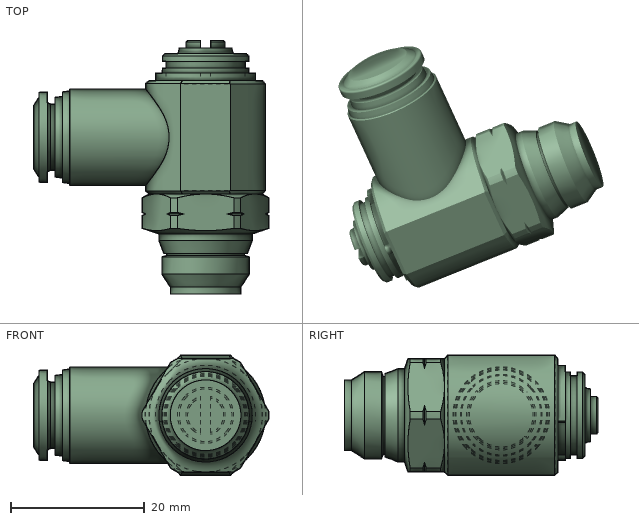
import cadquery as cq
import math


body_radius = 9.0
body_end = 8.5
body_chamfer_length = 0.55
body_chamfer_depth = 0.45

branch_tip = 25.78
branch_radius = 7.25
branch_start = 5.5
sleeve_chamfer = 0.1
ring_face_radius = 4.75
ring_cone_radius = 5.95
ring_cone_length = 0.78
ring_radius = 6.78
ring_fillet = 0.28
ring_end = 2.07
neck_root_radius = 5.2
neck_root_end = 2.55
neck_radius = 4.97
inner_step_start = 3.2
inner_step_radius = 5.98
outer_step_start = 4.33
outer_step_radius = 6.8
step_taper = 0.15

stop_collar_end = 9.6
stop_collar_radius = 7.5
stop_core_radius = 6.0
stop_wall_outer_z = -0.84
stop_wall_inner_z = -1.06
stop_pin_radius = 0.76
flange_radius = 6.5
lower_flange_end = 10.37
groove_radius = 5.95
upper_flange_start = 11.38
upper_flange_end = 12.55
flange_chamfer = 0.4
cap_base_radius = 4.2
cap_shoulder_radius = 4.05
cap_shoulder = 12.85
cap_top_radius = 3.95
cap_end = 13.4
screw_radius = 2.94
screw_end = 14.5
screw_chamfer = 0.25
screw_slot_width = 1.5

nut_across_flats = 17.0
nut_corner_radius = 9.5
nut_start = body_end
nut_length = 6.0
nut_end = nut_start + nut_length
nut_back_chamfer_depth = 1.0
nut_back_chamfer_length = nut_back_chamfer_depth * math.tan(math.radians(30))
nut_front_chamfer_length = 0.85
notch_depth = 0.41
notch_width = 0.5

spigot_radius = 7.0
spigot_step = 15.5
spigot_cone_radius = 6.27
spigot_cone_end = 17.43
relief_radius = 5.85
relief_end = 17.7
seat_start = 17.95
seat_radius = 6.56
seat_end = 20.5
nose_radius = 5.3
nose_start = 22.45
nose_end = 23.5


def turn_on_y(points):
    """Solid of revolution about Y from (radius, y) points."""
    return cq.Workplane("XY").polyline(points).close().revolve(360, (0, 0, 0), (0, 1, 0))


def bar_on_y(radius, start, end):
    return turn_on_y([(0, start), (radius, start), (radius, end), (0, end)])


def make_body():
    octagon_diameter = 2 * body_radius / math.cos(math.pi / 8)
    octagon = (
        cq.Workplane("XZ")
        .polygon(8, octagon_diameter)
        .extrude(body_end, both=True)
        .rotate((0, 0, 0), (0, 1, 0), 360 / 16)
    )
    tangent_height = body_radius * math.sin(math.pi / 4)
    middle_band = cq.Workplane("XY").box(4 * body_radius, 4 * body_end, 2 * tangent_height)
    body = octagon.cut(middle_band).union(bar_on_y(body_radius, -body_end, body_end))
    return body.faces("<Y or >Y").chamfer(body_chamfer_length, body_chamfer_depth)


def make_branch():
    """Tube sleeve and release ring, turned about X from the tip inwards."""
    arc_inset = ring_fillet * (1 - math.sin(math.pi / 4))
    profile = (
        cq.Workplane("XY", origin=(-branch_tip, 0, 0))
        .moveTo(0, 0)
        .lineTo(0, ring_face_radius)
        .lineTo(ring_cone_length, ring_cone_radius)
        .lineTo(ring_cone_length, ring_radius - ring_fillet)
        .threePointArc(
            (ring_cone_length + arc_inset, ring_radius - arc_inset),
            (ring_cone_length + ring_fillet, ring_radius),
        )
        .lineTo(ring_end, ring_radius)
        .lineTo(ring_end, neck_root_radius)
        .lineTo(neck_root_end, neck_radius)
        .lineTo(inner_step_start, neck_radius)
        .lineTo(inner_step_start, inner_step_radius)
        .lineTo(outer_step_start, inner_step_radius + step_taper)
        .lineTo(outer_step_start, outer_step_radius)
        .lineTo(branch_start - sleeve_chamfer, outer_step_radius + step_taper)
        .lineTo(branch_start - sleeve_chamfer, branch_radius - sleeve_chamfer)
        .lineTo(branch_start, branch_radius)
        .lineTo(branch_tip, branch_radius)
        .lineTo(branch_tip, 0)
        .close()
    )
    return profile.revolve(360, (0, 0, 0), (1, 0, 0))


def make_stop_collar():
    """Wide collar sector ending at two sloped stop walls, with a stop pin on the core below."""
    length = stop_collar_end - body_end
    wall_slope = (stop_wall_outer_z - stop_wall_inner_z) / (stop_collar_radius - stop_core_radius)
    reach = 2 * stop_collar_radius
    wall_start_z = stop_wall_inner_z - wall_slope * stop_core_radius
    wall_reach_z = wall_start_z + wall_slope * reach
    lower_cut = (
        cq.Workplane("XZ", origin=(0, body_end, 0))
        .polyline([
            (0, wall_start_z),
            (reach, wall_reach_z),
            (reach, -reach),
            (-reach, -reach),
            (-reach, wall_reach_z),
        ])
        .close()
        .extrude(-length)
    )
    sector = bar_on_y(stop_collar_radius, body_end, stop_collar_end).cut(lower_cut)
    core = bar_on_y(stop_core_radius, body_end, stop_collar_end)
    pin = (
        cq.Workplane("XZ", origin=(0, body_end, -stop_core_radius))
        .circle(stop_pin_radius)
        .extrude(-length)
    )
    return sector.union(core).union(pin)


def make_adjuster():
    turned = turn_on_y([
        (0, 0),
        (stop_core_radius, 0),
        (stop_core_radius, stop_collar_end),
        (flange_radius, stop_collar_end),
        (flange_radius, lower_flange_end),
        (groove_radius, lower_flange_end),
        (groove_radius, upper_flange_start),
        (flange_radius, upper_flange_start),
        (flange_radius, upper_flange_end - flange_chamfer),
        (flange_radius - flange_chamfer, upper_flange_end),
        (cap_base_radius, upper_flange_end),
        (cap_shoulder_radius, cap_shoulder),
        (cap_top_radius, cap_end),
        (screw_radius, cap_end),
        (screw_radius, screw_end - screw_chamfer),
        (screw_radius - screw_chamfer, screw_end),
        (0, screw_end),
    ])
    slot_depth = screw_end - cap_end
    slot = cq.Workplane("XY").box(screw_slot_width, slot_depth, 4 * screw_radius)
    return turned.cut(slot.translate((0, cap_end + slot_depth / 2, 0)))


def make_nut():
    """Chamfered hexagon nut with a V notch across the middle of each corner."""
    notch_y = -(nut_start + nut_length / 2)
    envelope = turn_on_y([
        (0, -nut_start),
        (nut_corner_radius - nut_back_chamfer_depth, -nut_start),
        (nut_corner_radius, -nut_start - nut_back_chamfer_length),
        (nut_corner_radius, notch_y + notch_width / 2),
        (nut_corner_radius - notch_depth, notch_y),
        (nut_corner_radius, notch_y - notch_width / 2),
        (nut_corner_radius, -nut_end + nut_front_chamfer_length),
        (spigot_radius, -nut_end),
        (0, -nut_end),
    ])
    across_corners = nut_across_flats / math.cos(math.pi / 6)
    hexagon = (
        cq.Workplane("XZ", origin=(0, -nut_start, 0))
        .polygon(6, across_corners)
        .extrude(nut_length)
    )
    return hexagon.intersect(envelope)


def make_spigot():
    return turn_on_y([
        (0, 0),
        (spigot_radius, 0),
        (spigot_radius, -spigot_step),
        (spigot_cone_radius, -spigot_cone_end),
        (relief_radius, -spigot_cone_end),
        (relief_radius, -relief_end),
        (seat_radius, -seat_start),
        (seat_radius, -seat_end),
        (nose_radius, -nose_start),
        (nose_radius, -nose_end),
        (0, -nose_end),
    ])


result = (
    make_body()
    .union(make_branch())
    .union(make_adjuster())
    .union(make_stop_collar())
    .union(make_nut())
    .union(make_spigot())
)